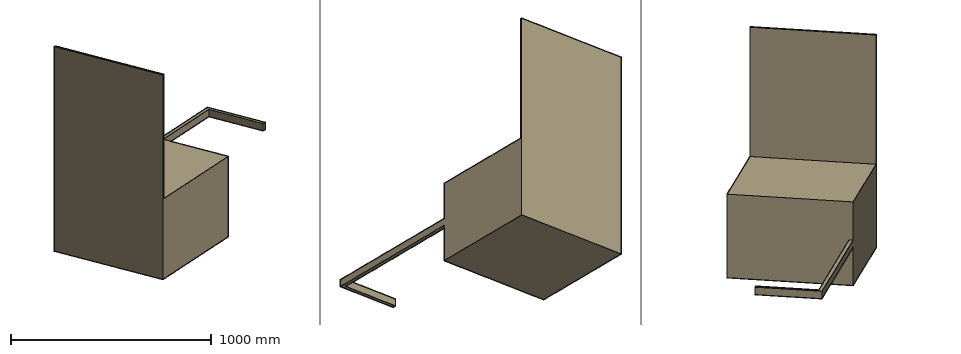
import cadquery as cq

width = 640.0
length = 1430.0
height = 1120.0

panel_thickness = 11.0
box_depth = 600.0
box_height = 440.0

arm_thickness = 20.0
arm_height = 40.0
arm_bottom = 200.0
hook_length = 340.0

box_back = panel_thickness + box_depth
arm_length = length - box_back


def corner_block(size_x, size_y, size_z, y=0, z=0):
    """Block touching the x = 0 plane, with its lowest corner at (0, y, z)."""
    return cq.Workplane("XY").box(size_x, size_y, size_z, centered=False).translate((0, y, z))


panel = corner_block(width, panel_thickness, height)
box = corner_block(width, box_depth, box_height, y=panel_thickness)
arm = corner_block(arm_thickness, arm_length, arm_height, y=box_back, z=arm_bottom)
hook = corner_block(hook_length, arm_thickness, arm_height, y=length - arm_thickness, z=arm_bottom)

result = panel.union(box).union(arm).union(hook)